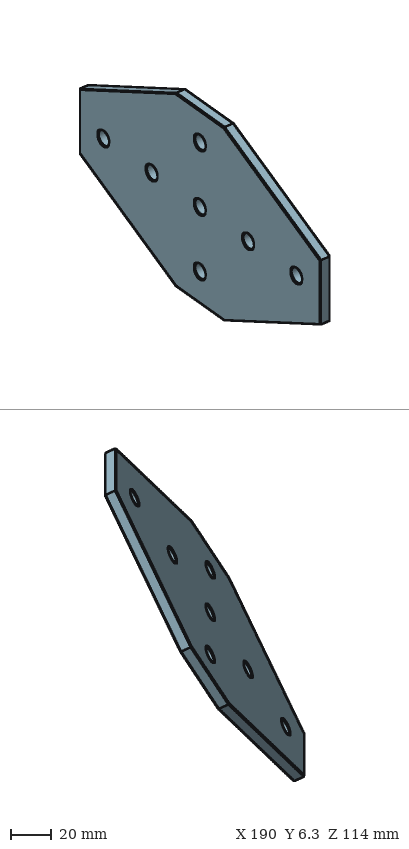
import cadquery as cq

length = 190.0
height = 114.0
thickness = 6.3
end_edge = 38.0
edge_chamfer = 0.5

hole_diameter = 8.4
hole_pitch = 38.0
hole_chamfer = 0.5

half_length = length / 2
half_height = height / 2
half_edge = end_edge / 2


def make_plate():
    """Octagonal plate with the outer edges of both faces bevelled."""
    outline = [
        (half_length, -half_edge),
        (half_length, half_edge),
        (half_edge, half_height),
        (-half_edge, half_height),
        (-half_length, half_edge),
        (-half_length, -half_edge),
        (-half_edge, -half_height),
        (half_edge, -half_height),
    ]
    plate = cq.Workplane("XZ").polyline(outline).close().extrude(thickness / 2, both=True)
    return plate.faces("<Y or >Y").edges().chamfer(edge_chamfer)


def make_hole_cutter():
    """Through hole with a small countersink at both faces."""
    radius = hole_diameter / 2
    half_thickness = thickness / 2
    mouth_radius = radius + hole_chamfer
    profile = [
        (0, -half_thickness),
        (mouth_radius, -half_thickness),
        (radius, -half_thickness + hole_chamfer),
        (radius, half_thickness - hole_chamfer),
        (mouth_radius, half_thickness),
        (0, half_thickness),
    ]
    return cq.Workplane("XY").polyline(profile).close().revolve(360, (0, 0), (0, 1))


row = [(step * hole_pitch, 0) for step in range(-2, 3)]
column = [(0, -hole_pitch), (0, hole_pitch)]

result = make_plate()
hole_cutter = make_hole_cutter()
for x, z in row + column:
    result = result.cut(hole_cutter.translate((x, 0, z)))